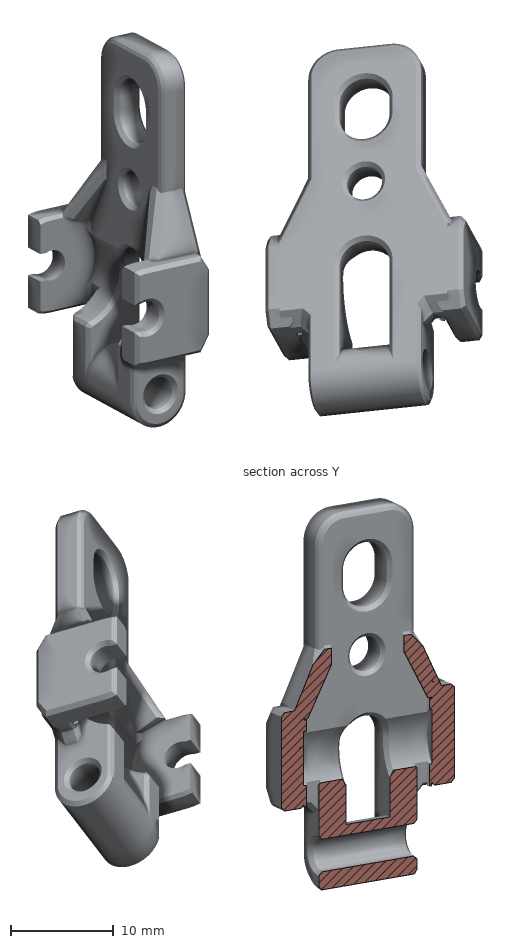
import cadquery as cq
import math


barrel_radius = 6.25 / 2
barrel_hole_diameter = 3.25
barrel_hole_z = 0.37
strap_width = 11.25
strap_thickness = 3.0
total_height = 37.7
strap_corner_radius = 3.0
leg_top_chamfer = 0.3
edge_chamfer = 0.4
barrel_chamfer_inset = 0.3
barrel_chamfer_depth = 0.45
outer_bevel_inset = 0.23
outer_bevel_depth = 0.33
inner_bevel_inset = 0.32
inner_bevel_depth = 0.17
leg_facet_run_out = 0.6

screw_hole_diameter = 3.5
screw_hole_z = 19.84
oblong_width = 5.0
oblong_length = 6.5
oblong_z = 27.85
slot_width = 5.0
slot_top_z = 13.57
slot_bottom_z = -1.0

recess_radius = 5.0
axis_y = -4.2
axis_z = 10.5
lug_half_span = 9.9
lug_inner_x = 7.3
lug_front_y = -5.495
lug_inner_chamfer = 0.33
lug_back_cut_depth = 1.0
lug_back_cut_height = 1.6
notch_diameter = 3.1
notch_opening = 2.84

web_top_z = 21.2
web_foot_x = 8.4
web_slope_top_z = 21.5
web_slope_run = 2.825
web_back_chamfer = 0.6
web_outer_chamfer = 0.6
web_inner_chamfer = 0.6
pocket_neck_x = 4.1
pocket_neck_z = 19.57
pocket_foot_z = 14.4
web_underside_drop = 0.2
corner_fill = 0.43

gusset_size = 0.97
gusset_back_chamfer = 1.3

back_y = barrel_radius
face_y = back_y - strap_thickness
half_strap = strap_width / 2
strap_top_z = total_height - barrel_radius
leg_front_y = -barrel_radius
lug_top_z = axis_z + recess_radius
lug_bottom_z = axis_z - recess_radius
column_top_z = 18.0
leg_block_top_z = axis_z - math.sqrt(recess_radius**2 - (face_y - axis_y) ** 2)
overlap = 4.0
overshoot = 5.0


def xz_sketch_at(y):
    """Workplane parallel to XZ whose extrusions run towards -Y."""
    return cq.Workplane("XZ", origin=(0, y, 0))


def x_prism(points, x_start, x_end):
    """Prism along X from a (y, z) outline."""
    plane = cq.Workplane("YZ", origin=(x_start, 0, 0))
    return plane.polyline(points).close().extrude(x_end - x_start)


class HeightBand(cq.Selector):
    """Edges whose centres lie between two heights and, if asked, on a given Y."""

    def __init__(self, low_z, high_z, y=None):
        self.low_z = low_z
        self.high_z = high_z
        self.y = y

    def filter(self, objects):
        centres = [(item, item.Center()) for item in objects]
        in_band = [(item, c) for item, c in centres if self.low_z < c.z < self.high_z]
        return [item for item, c in in_band if self.y is None or abs(c.y - self.y) < 1e-6]


class SlotRim(cq.Selector):
    """Front and back edges of the slot, clear of its lower end and its inner corners."""

    def filter(self, objects):
        centres = [(item, item.Center()) for item in objects]
        inside = [(item, c) for item, c in centres if abs(c.x) < slot_width / 2 + 0.01]
        rim = [(item, c) for item, c in inside if slot_bottom_z + 0.1 < c.z < slot_top_z + 0.1]
        return [item for item, c in rim if not self.runs_through(item)]

    @staticmethod
    def runs_through(edge):
        """True for an edge that crosses the strap from its front to its back."""
        return abs(edge.startPoint().y - edge.endPoint().y) > strap_thickness / 2


def x_cylinder(diameter, y, z, half_length):
    plane = cq.Workplane("YZ", origin=(-half_length, 0, 0))
    return plane.center(y, z).circle(diameter / 2).extrude(2 * half_length)


def make_tongue():
    """Upper strap with round corners and a two-facet bevel on its front edge."""
    bottom_z = column_top_z - overlap
    body_depth = strap_thickness - outer_bevel_depth - inner_bevel_depth

    def outline(y, inset):
        width = strap_width - 2 * inset
        height = strap_top_z - bottom_z - 2 * inset
        middle_z = (strap_top_z + bottom_z) / 2
        corner = strap_corner_radius - inset
        rectangle = cq.Sketch().rect(width, height).vertices().fillet(corner)
        return xz_sketch_at(y).center(0, middle_z).placeSketch(rectangle)

    body = outline(back_y, 0).extrude(body_depth).faces(">Y").edges().chamfer(edge_chamfer)
    outer_taper = math.degrees(math.atan2(outer_bevel_inset, outer_bevel_depth))
    inner_taper = math.degrees(math.atan2(inner_bevel_inset, inner_bevel_depth))
    outer_facet_y = back_y - body_depth
    inner_facet_y = outer_facet_y - outer_bevel_depth
    outer_layer = outline(outer_facet_y, 0).extrude(outer_bevel_depth, taper=outer_taper)
    inner_layer = outline(inner_facet_y, outer_bevel_inset).extrude(inner_bevel_depth, taper=inner_taper)
    return body.union(outer_layer).union(inner_layer)


def make_column():
    """Lower strap with the hinge barrel and the block that becomes the two legs."""
    outline = (
        cq.Workplane("YZ", origin=(-half_strap, 0, 0))
        .moveTo(back_y, 0)
        .lineTo(back_y, column_top_z)
        .lineTo(face_y, column_top_z)
        .lineTo(face_y, leg_block_top_z)
        .lineTo(leg_front_y, leg_block_top_z)
        .lineTo(leg_front_y, 0)
        .threePointArc((0, -barrel_radius), (back_y, 0))
        .close()
    )
    column = outline.extrude(strap_width)
    return column.faces("<X or >X").edges().chamfer(barrel_chamfer_inset, barrel_chamfer_depth)


def make_crossbar():
    """Plate that joins the lugs to the strap, with a gusset under each lug."""
    outline = [
        (web_foot_x, pocket_foot_z),
        (web_foot_x, lug_bottom_z),
        (half_strap + gusset_size, lug_bottom_z),
        (half_strap, lug_bottom_z - gusset_size),
    ]
    mirrored = [(-x, z) for x, z in reversed(outline)]
    plate = xz_sketch_at(back_y).polyline(outline + mirrored).close().extrude(strap_thickness)
    plate = plate.edges(HeightBand(0, axis_z - 1, back_y)).chamfer(gusset_back_chamfer)
    return plate.edges(HeightBand(0, axis_z - 1, face_y)).chamfer(edge_chamfer)


def make_webs():
    """Two leaning walls on the strap whose sloping fronts run out to the lug tops."""
    slope = web_slope_run / (web_slope_top_z - lug_top_z)
    wall_lean = (web_foot_x - half_strap) / (web_top_z - lug_top_z)
    foot_x = web_foot_x + wall_lean * (lug_top_z - pocket_foot_z)
    tip_x = half_strap - wall_lean * (web_slope_top_z - web_top_z)
    foot_y = face_y - slope * (web_slope_top_z - pocket_foot_z)
    profile = [
        (back_y, pocket_foot_z),
        (foot_y, pocket_foot_z),
        (face_y, web_slope_top_z),
        (back_y, web_slope_top_z),
    ]
    plan = [
        (-foot_x, pocket_foot_z),
        (foot_x, pocket_foot_z),
        (tip_x, web_slope_top_z),
        (-tip_x, web_slope_top_z),
    ]
    block = x_prism(profile, -foot_x, foot_x)
    block = block.intersect(xz_sketch_at(back_y).polyline(plan).close().extrude(back_y - foot_y))
    block = block.faces(">Y").edges("not |X").chamfer(web_back_chamfer)
    block = block.faces("<Y").edges("not |X").chamfer(web_outer_chamfer)

    gap_foot_x = lug_inner_x - corner_fill
    half_floor = [
        (pocket_neck_x, web_slope_top_z),
        (pocket_neck_x, pocket_neck_z),
        (gap_foot_x, pocket_foot_z),
    ]
    mirrored = [(-x, z) for x, z in reversed(half_floor)]
    gap = xz_sketch_at(face_y).polyline(half_floor + mirrored).close().extrude(face_y - foot_y)
    webs = block.cut(gap).cut(make_web_underside(foot_y))
    middle_x = (pocket_neck_x + gap_foot_x) / 2
    middle_z = (pocket_neck_z + pocket_foot_z) / 2
    middle_y = face_y - slope * (web_slope_top_z - middle_z)
    for x in (-middle_x, middle_x):
        inner_edge = cq.selectors.NearestToPointSelector((x, middle_y, middle_z))
        webs = webs.edges(inner_edge).chamfer(web_inner_chamfer)
    return webs


def make_lug():
    """Lug on the +X side with a round-nosed front and the snap-in pin notch."""
    nose_drop = recess_radius - math.sqrt(recess_radius**2 - (axis_y - lug_front_y) ** 2)
    middle_y = (axis_y + lug_front_y) / 2
    middle_rise = math.sqrt(recess_radius**2 - (axis_y - middle_y) ** 2)
    outline = (
        cq.Workplane("YZ", origin=(lug_inner_x, 0, 0))
        .moveTo(back_y, lug_bottom_z + lug_back_cut_height)
        .lineTo(back_y - lug_back_cut_depth, lug_bottom_z)
        .lineTo(axis_y, lug_bottom_z)
        .threePointArc((middle_y, axis_z - middle_rise), (lug_front_y, lug_bottom_z + nose_drop))
        .lineTo(lug_front_y, lug_top_z - nose_drop)
        .threePointArc((middle_y, axis_z + middle_rise), (axis_y, lug_top_z))
        .lineTo(back_y - lug_back_cut_depth, lug_top_z)
        .lineTo(back_y, lug_top_z - lug_back_cut_height)
        .close()
    )
    lug = outline.extrude(lug_half_span - lug_inner_x)
    pin_seat = x_cylinder(notch_diameter, axis_y, axis_z, lug_half_span + overshoot)
    mouth = cq.Workplane("XY").box(2 * lug_half_span + overshoot, overshoot, notch_opening)
    mouth = mouth.translate((0, axis_y - overshoot / 2, axis_z))
    lug = lug.cut(pin_seat).cut(mouth).faces(">X").edges().chamfer(edge_chamfer)
    lug = lug.faces("<X").edges(HeightBand(lug_top_z - nose_drop, strap_top_z)).chamfer(lug_inner_chamfer)
    return lug.faces("<X").edges(HeightBand(0, lug_bottom_z + nose_drop)).chamfer(lug_inner_chamfer)


def make_web_underside(foot_y):
    """Cutter between the lugs that slopes the lower end of each web."""
    underside_top_z = lug_top_z - web_underside_drop
    profile = [
        (face_y, pocket_foot_z),
        (face_y - web_slope_run, underside_top_z),
        (foot_y - overshoot, underside_top_z),
        (foot_y - overshoot, pocket_foot_z),
    ]
    return x_prism(profile, -lug_inner_x, lug_inner_x)


def make_corner_fill():
    """Bevel on the +X side that fills the corner between the strap face and the lug."""
    corner = [
        (lug_inner_x - corner_fill, face_y),
        (lug_inner_x, face_y),
        (lug_inner_x, face_y - corner_fill),
    ]
    start = cq.Workplane("XY", origin=(0, 0, lug_bottom_z))
    return start.polyline(corner).close().extrude(pocket_foot_z - lug_bottom_z)


def cut_recess(body):
    """Round recess between the lugs; it also shapes the leg tops, whose front edges are chamfered."""
    body = body.cut(x_cylinder(2 * recess_radius, axis_y, axis_z, lug_inner_x))
    leg_top_z = axis_z - math.sqrt(recess_radius**2 - (leg_front_y - axis_y) ** 2)
    leg_top_edges = HeightBand(leg_top_z - 0.01, leg_top_z + 0.01, leg_front_y)
    return body.edges(leg_top_edges).chamfer(leg_top_chamfer)


def bevel_leg_fronts(body):
    """Shallow second facet along the outer front edge of each leg."""
    facet_slope = inner_bevel_depth / inner_bevel_inset
    facet_start_x = half_strap - outer_bevel_inset - inner_bevel_inset
    facet_end_x = half_strap + edge_chamfer
    facet_end_y = leg_front_y + facet_slope * (facet_end_x - facet_start_x)
    corner = [(facet_start_x, leg_front_y), (facet_end_x, leg_front_y), (facet_end_x, facet_end_y)]
    start = cq.Workplane("XY", origin=(0, 0, -leg_facet_run_out))
    facet = start.polyline(corner).close().extrude(leg_block_top_z + leg_facet_run_out)
    return body.cut(facet).cut(facet.mirror("YZ"))


def cut_slot(body):
    """Slot between the legs with chamfered rims; the barrel bridges its lower end."""
    arc_z = slot_top_z - slot_width / 2
    slot = (
        xz_sketch_at(back_y)
        .moveTo(-slot_width / 2, slot_bottom_z)
        .lineTo(-slot_width / 2, arc_z)
        .threePointArc((0, slot_top_z), (slot_width / 2, arc_z))
        .lineTo(slot_width / 2, slot_bottom_z)
        .close()
    )
    body = body.cut(slot.extrude(2 * barrel_radius))
    body = body.edges(SlotRim()).chamfer(edge_chamfer)
    bridge = x_cylinder(2 * barrel_radius, 0, 0, slot_width / 2 + edge_chamfer)
    return body.union(bridge)


def cut_barrel_hole(body):
    """Pin hole along the barrel, chamfered at both ends."""
    hole = x_cylinder(barrel_hole_diameter, 0, barrel_hole_z, half_strap)
    flare = cq.Workplane("YZ", origin=(half_strap, 0, 0)).center(0, barrel_hole_z)
    flare = flare.circle(barrel_hole_diameter / 2 + edge_chamfer).extrude(-edge_chamfer, taper=45)
    return body.cut(hole).cut(flare).cut(flare.mirror("YZ"))


def cut_strap_holes(body):
    """Round and oblong screw holes through the strap, chamfered on both faces."""
    middle_y = (face_y + back_y) / 2
    flare = 2 * edge_chamfer

    def cutter(outline):
        hole = outline(face_y, 0).extrude(-strap_thickness)
        front_flare = outline(face_y, flare).extrude(-edge_chamfer, taper=45)
        back_flare = front_flare.mirror("XZ", (0, middle_y, 0))
        return hole.union(front_flare).union(back_flare)

    def oblong(y, growth):
        centre = cq.Workplane("XZ", origin=(0, y, oblong_z))
        return centre.slot2D(oblong_length + growth, oblong_width + growth, 90)

    def screw_hole(y, growth):
        centre = cq.Workplane("XZ", origin=(0, y, screw_hole_z))
        return centre.circle((screw_hole_diameter + growth) / 2)

    return body.cut(cutter(oblong)).cut(cutter(screw_hole))


body = make_crossbar().union(make_webs())
side = make_lug().union(make_corner_fill())
body = body.union(side).union(side.mirror("YZ"))
body = body.union(make_column()).union(make_tongue())
body = bevel_leg_fronts(cut_recess(body))
body = cut_slot(body)
result = cut_strap_holes(cut_barrel_hole(body))